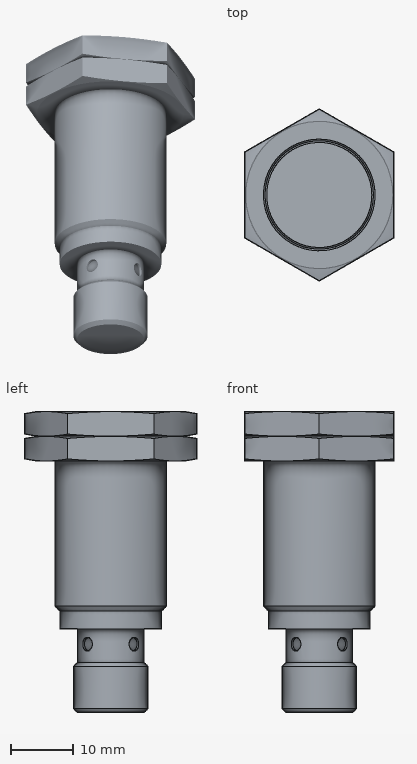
import cadquery as cq
import math

TOTAL_HEIGHT = 48.5

NUT_COUNT = 2
NUT_HEIGHT = 4.0
NUT_FLATS = 24.0
NUT_CORNERS = NUT_FLATS / math.cos(math.radians(30))
NUT_FACE_DIAMETER = 23.7
NUT_CHAMFER_ANGLE = 10.0
NUT_STACK_BOTTOM = TOTAL_HEIGHT - NUT_COUNT * NUT_HEIGHT

BARREL_DIAMETER = 18.0
BARREL_BOTTOM = 16.35
COLLAR_DIAMETER = 16.4
COLLAR_BOTTOM = 13.5

TOP_FACE_DIAMETER = 16.95
HEAD_DIAMETER = (BARREL_DIAMETER + TOP_FACE_DIAMETER) / 2

NECK_DIAMETER = 10.75
PLUG_DIAMETER = 12.0
PLUG_TOP = 8.05

DIMPLE_COUNT = 4
DIMPLE_DIAMETER = 2.2
DIMPLE_DEPTH = 0.5
DIMPLE_HEIGHT = 11.0
DIMPLE_START_ANGLE = 45.0


def make_sensor_blank():
    """Turn the stepped sensor body, with 45 degree chamfers, around Z."""
    barrel_radius = BARREL_DIAMETER / 2
    collar_radius = COLLAR_DIAMETER / 2
    head_radius = HEAD_DIAMETER / 2
    top_radius = TOP_FACE_DIAMETER / 2
    neck_radius = NECK_DIAMETER / 2
    plug_radius = PLUG_DIAMETER / 2
    barrel_chamfer = barrel_radius - collar_radius
    top_chamfer = head_radius - top_radius
    plug_chamfer = plug_radius - neck_radius
    profile = [
        (0, 0),
        (neck_radius, 0),
        (plug_radius, plug_chamfer),
        (plug_radius, PLUG_TOP - plug_chamfer),
        (neck_radius, PLUG_TOP),
        (neck_radius, COLLAR_BOTTOM),
        (collar_radius, COLLAR_BOTTOM),
        (collar_radius, BARREL_BOTTOM),
        (barrel_radius, BARREL_BOTTOM + barrel_chamfer),
        (barrel_radius, NUT_STACK_BOTTOM),
        (head_radius, NUT_STACK_BOTTOM),
        (head_radius, TOTAL_HEIGHT - top_chamfer),
        (top_radius, TOTAL_HEIGHT),
        (0, TOTAL_HEIGHT),
    ]
    return cq.Workplane("XZ").polyline(profile).close().revolve(360, (0, 0, 0), (0, 1, 0))


def make_dimple_cutter(angle):
    """Return a radial cylinder that reaches into the neck at the given angle."""
    floor_radius = NECK_DIAMETER / 2 - DIMPLE_DEPTH
    cutter = (
        cq.Workplane("YZ", origin=(floor_radius, 0, DIMPLE_HEIGHT))
        .circle(DIMPLE_DIAMETER / 2)
        .extrude(2 * DIMPLE_DEPTH)
    )
    return cutter.rotate((0, 0, 0), (0, 0, 1), angle)


def make_sensor():
    """Cut the evenly spaced dimples into the sensor body."""
    sensor = make_sensor_blank()
    for index in range(DIMPLE_COUNT):
        angle = DIMPLE_START_ANGLE + index * 360 / DIMPLE_COUNT
        sensor = sensor.cut(make_dimple_cutter(angle))
    return sensor


def make_bore_cutter():
    """Return the nut bore, widened at both ends by 45 degree chamfers."""
    bore_radius = HEAD_DIAMETER / 2
    mouth_radius = BARREL_DIAMETER / 2
    chamfer = mouth_radius - bore_radius
    profile = [
        (0, 0),
        (mouth_radius, 0),
        (bore_radius, chamfer),
        (bore_radius, NUT_HEIGHT - chamfer),
        (mouth_radius, NUT_HEIGHT),
        (0, NUT_HEIGHT),
    ]
    return cq.Workplane("XZ").polyline(profile).close().revolve(360, (0, 0, 0), (0, 1, 0))


def make_nut(bottom):
    """Make a hexagon nut with conical chamfers on both faces, corners along Y."""
    face_radius = NUT_FACE_DIAMETER / 2
    corner_radius = NUT_CORNERS / 2
    drop = (corner_radius - face_radius) * math.tan(math.radians(NUT_CHAMFER_ANGLE))
    envelope_profile = [
        (0, 0),
        (face_radius, 0),
        (corner_radius, drop),
        (corner_radius, NUT_HEIGHT - drop),
        (face_radius, NUT_HEIGHT),
        (0, NUT_HEIGHT),
    ]
    envelope = cq.Workplane("XZ").polyline(envelope_profile).close().revolve(360, (0, 0, 0), (0, 1, 0))
    hexagon = (
        cq.Workplane("XY")
        .polygon(6, NUT_CORNERS)
        .extrude(NUT_HEIGHT)
        .rotate((0, 0, 0), (0, 0, 1), 90)
    )
    return hexagon.intersect(envelope).cut(make_bore_cutter()).translate((0, 0, bottom))


sensor = make_sensor()
nuts = [make_nut(TOTAL_HEIGHT - (index + 1) * NUT_HEIGHT) for index in range(NUT_COUNT)]

result = cq.Compound.makeCompound([sensor.val(), *[nut.val() for nut in nuts]])